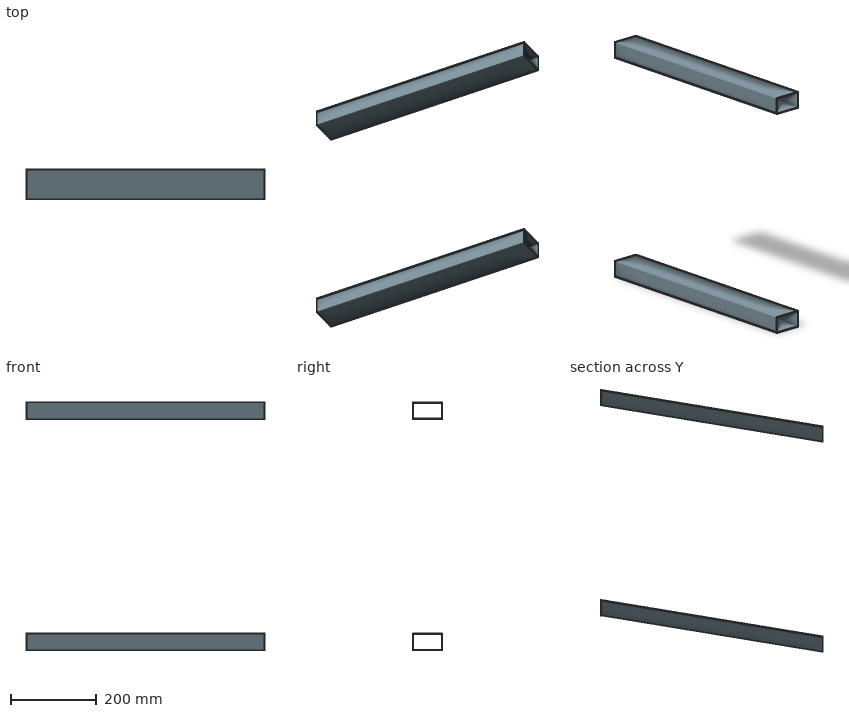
import cadquery as cq

tube_length = 557.0
tube_width = 70.0
tube_height = 40.0
wall = 2.0
outer_radius = 2.5
inner_radius = outer_radius - wall

overall_height = 580.0
tube_spacing = overall_height - tube_height


def rounded_bar(width, height, radius):
    """Solid bar along X, centred on the origin, with rounded long edges."""
    return cq.Workplane("XY").box(tube_length, width, height).edges("|X").fillet(radius)


def tube(center_z):
    """Open-ended rectangular tube along X at the given height."""
    outside = rounded_bar(tube_width, tube_height, outer_radius)
    bore = rounded_bar(tube_width - 2 * wall, tube_height - 2 * wall, inner_radius)
    return outside.cut(bore).translate((0, 0, center_z))


tubes = [tube(side * tube_spacing / 2) for side in (-1, 1)]

result = cq.Compound.makeCompound([body.val() for body in tubes])